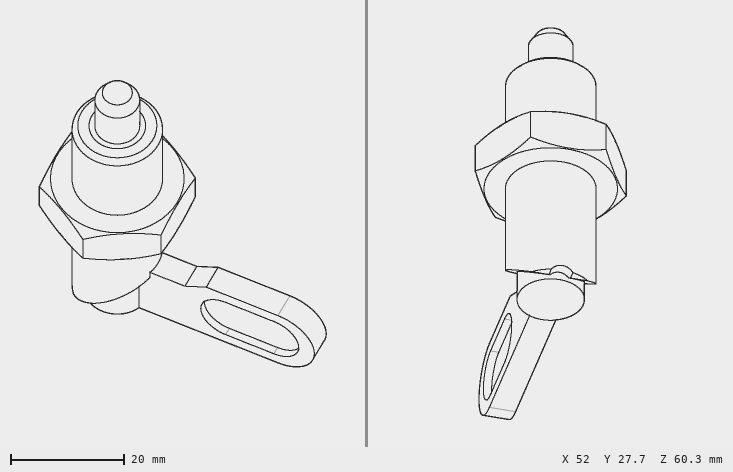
import cadquery as cq
import math


sleeve_radius = 8.0
sleeve_length = 48.25
sleeve_chamfer = 1.0
cam_angle = 36.0
cam_start_x = -6.15
detent_depth = 1.0

nut_flats = 24.0
nut_thickness = 8.0
nut_top = -16.0
nut_face_radius = 11.8
nut_chamfer_angle = 30.0

pin_radius = 4.0
pin_length = 10.0
tip_radius = 2.65
tip_length = 2.2
shank_radius = 5.0
base_radius = 6.0
base_bottom = -48.85
dome_height = 1.45

lever_thickness = 4.8
lever_height = 14.35
lever_end_x = 40.0
neck_height = 12.05
neck_end_x = 14.5
ramp_end_x = 18.7
pocket_length = 19.3
pocket_height = 9.8
pocket_center_x = 27.25
pocket_depth = 1.5
neck_top = base_bottom + neck_height
lever_end_radius = lever_height / 2
lever_middle = base_bottom + lever_end_radius


def make_lever():
    """Flat lever with a rounded end and a grip pocket in each side face."""
    arc_x = lever_end_x - lever_end_radius
    lever_top = base_bottom + lever_height
    lever = (
        cq.Workplane("XZ")
        .moveTo(0, base_bottom)
        .lineTo(arc_x, base_bottom)
        .threePointArc((lever_end_x, lever_middle), (arc_x, lever_top))
        .lineTo(ramp_end_x, lever_top)
        .lineTo(neck_end_x, neck_top)
        .lineTo(0, neck_top)
        .close()
        .extrude(lever_thickness / 2, both=True)
    )
    pocket_offset = (lever_thickness - pocket_depth) / 2
    for side in (-1, 1):
        pocket = (
            cq.Workplane("XZ", origin=(pocket_center_x, side * pocket_offset, lever_middle))
            .slot2D(pocket_length, pocket_height)
            .extrude(pocket_depth / 2, both=True)
        )
        lever = lever.cut(pocket)
    return lever


def make_plunger():
    """Turned pin, shank and domed base, in one piece with the lever."""
    dome_radius = (base_radius**2 + dome_height**2) / (2 * dome_height)
    dome_bottom = base_bottom - dome_height
    half_radius = base_radius / 2
    dome_mid_z = dome_bottom + dome_radius - math.sqrt(dome_radius**2 - half_radius**2)
    turned = (
        cq.Workplane("XZ")
        .moveTo(0, dome_bottom)
        .threePointArc((half_radius, dome_mid_z), (base_radius, base_bottom))
        .lineTo(base_radius, neck_top)
        .lineTo(shank_radius, neck_top)
        .lineTo(shank_radius, 0)
        .lineTo(pin_radius, 0)
        .lineTo(pin_radius, pin_length - tip_length)
        .lineTo(tip_radius, pin_length)
        .lineTo(0, pin_length)
        .close()
        .revolve(360, (0, 0), (0, 1))
    )
    return turned.union(make_lever())


def make_sleeve(plunger):
    """Sleeve with a sloping cam face, a detent, and a bore and slot that fit the plunger."""
    sleeve = (
        cq.Workplane("XY")
        .circle(sleeve_radius)
        .extrude(-sleeve_length)
        .faces(">Z")
        .chamfer(sleeve_chamfer)
    )
    cam_end_x = 2 * sleeve_radius
    cam_rise = (cam_end_x - cam_start_x) * math.tan(math.radians(cam_angle))
    cam_cut = (
        cq.Workplane("XZ")
        .moveTo(cam_start_x, -sleeve_length)
        .lineTo(cam_end_x, -sleeve_length)
        .lineTo(cam_end_x, -sleeve_length + cam_rise)
        .close()
        .extrude(2 * sleeve_radius, both=True)
    )
    detent_radius = lever_thickness / 2
    detent_axis_z = -sleeve_length + detent_depth - detent_radius
    detent = (
        cq.Workplane("YZ")
        .center(0, detent_axis_z)
        .circle(detent_radius)
        .extrude(-2 * sleeve_radius)
    )
    return sleeve.cut(cam_cut).cut(detent).cut(plunger)


def make_nut():
    """Hexagon nut with flats facing +X and -X and both ends chamfered."""
    corner_radius = nut_flats / math.sqrt(3)
    chamfer_drop = (corner_radius - nut_face_radius) * math.tan(math.radians(nut_chamfer_angle))
    nut_bottom = nut_top - nut_thickness
    hexagon = (
        cq.Workplane("XY", origin=(0, 0, nut_bottom))
        .polygon(6, 2 * corner_radius)
        .extrude(nut_thickness)
        .rotate((0, 0, 0), (0, 0, 1), 30)
    )
    chamfer_envelope = (
        cq.Workplane("XZ")
        .moveTo(0, nut_bottom)
        .lineTo(nut_face_radius, nut_bottom)
        .lineTo(corner_radius, nut_bottom + chamfer_drop)
        .lineTo(corner_radius, nut_top - chamfer_drop)
        .lineTo(nut_face_radius, nut_top)
        .lineTo(0, nut_top)
        .close()
        .revolve(360, (0, 0), (0, 1))
    )
    bore = cq.Workplane("XY", origin=(0, 0, nut_bottom)).circle(sleeve_radius).extrude(nut_thickness)
    return hexagon.intersect(chamfer_envelope).cut(bore)


plunger = make_plunger()
sleeve = make_sleeve(plunger)
nut = make_nut()

result = cq.Compound.makeCompound([sleeve.val(), nut.val(), plunger.val()])